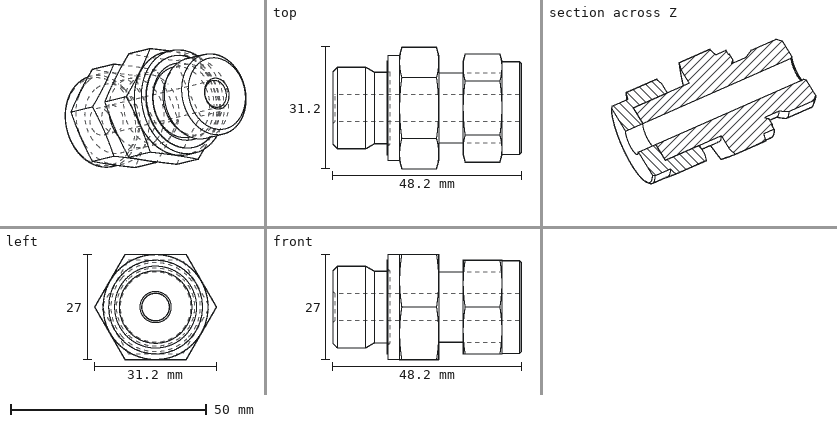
import cadquery as cq
import math

stud_runout_start = 8.4
stud_runout_end = 10.6
seal_face = 13.85
collar_start = 14.1
body_hex_start = 17.05
body_hex_end = 27.1
nut_start = 33.3
nut_hex_end = 43.25
overall_length = 48.2

stud_radius = 10.48
neck_radius = 9.2
stud_chamfer = 1.2
seal_face_radius = 12.0
face_recess = 0.8
collar_radius = 13.45
spigot_radius = 9.0
bore_radius = 3.5
bore_chamfer = 0.5

body_across_flats = 27.0
nut_across_flats = 24.0
hex_chamfer_angle = 15.0
hex_chamfer_inset = 0.1

sleeve_radius = 11.9
sleeve_chamfer = 0.5


def cylinder(start, end, radius):
    """Solid cylinder on the X axis between two positions."""
    return cq.Workplane("YZ", origin=(start, 0, 0)).circle(radius).extrude(end - start)


def revolved(points):
    """Solid turned about the X axis from an (x, radius) half profile."""
    return cq.Workplane("XY").polyline(points).close().revolve(360, (0, 0, 0), (1, 0, 0))


def chamfered_hex(start, end, across_flats):
    """Hexagonal prism along X with turned chamfers on the corners at both ends."""
    corner_radius = across_flats / math.sqrt(3)
    chamfer_radius = across_flats / 2 - hex_chamfer_inset
    chamfer_length = (corner_radius - chamfer_radius) * math.tan(math.radians(hex_chamfer_angle))
    prism = (
        cq.Workplane("YZ", origin=(start, 0, 0))
        .polygon(6, 2 * corner_radius)
        .extrude(end - start)
    )
    envelope = revolved([
        (start, 0),
        (start, chamfer_radius),
        (start + chamfer_length, corner_radius),
        (end - chamfer_length, corner_radius),
        (end, chamfer_radius),
        (end, 0),
    ])
    return prism.intersect(envelope)


def make_fitting_body():
    """Threaded stud, collar with a conical recess in its face, hexagon and the spigot that enters the nut."""
    stud = revolved([
        (0, 0),
        (0, stud_radius - stud_chamfer),
        (stud_chamfer, stud_radius),
        (stud_runout_start, stud_radius),
        (stud_runout_end, neck_radius),
        (seal_face + face_recess, neck_radius),
        (seal_face, neck_radius + face_recess),
        (seal_face, seal_face_radius),
        (collar_start, seal_face_radius),
        (collar_start, collar_radius),
        (body_hex_start, collar_radius),
        (body_hex_start, 0),
    ])
    hexagon = chamfered_hex(body_hex_start, body_hex_end, body_across_flats)
    spigot = cylinder(body_hex_end, nut_hex_end, spigot_radius)
    bore = cylinder(0, nut_hex_end, bore_radius)
    bore_mouth = revolved([
        (0, 0),
        (0, bore_radius + bore_chamfer),
        (bore_chamfer, bore_radius),
        (bore_chamfer, 0),
    ])
    return stud.union(hexagon).union(spigot).cut(bore).cut(bore_mouth)


def make_nut():
    """Hexagon nut with a round sleeve, recessed for the spigot and bored through."""
    hexagon = chamfered_hex(nut_start, nut_hex_end, nut_across_flats)
    sleeve = cylinder(nut_hex_end, overall_length, sleeve_radius).faces(">X").chamfer(sleeve_chamfer)
    spigot_recess = cylinder(nut_start, nut_hex_end, spigot_radius)
    bore = cylinder(nut_hex_end, overall_length, bore_radius)
    return hexagon.union(sleeve).cut(spigot_recess).cut(bore)


fitting_body = make_fitting_body()
nut = make_nut()

result = cq.Compound.makeCompound([fitting_body.val(), nut.val()])